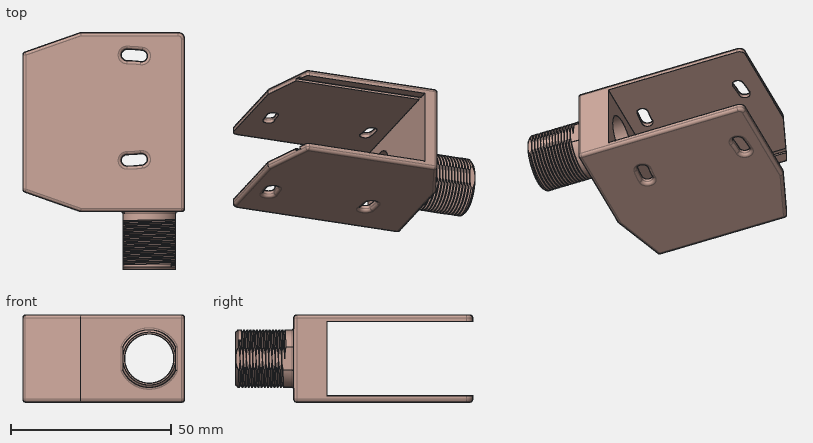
import cadquery as cq
import math

length_x = 50.5
overall_y = 74.0
depth_y = 55.9
height_z = 27.3
corner_run_x = 18.0
corner_run_y = 6.3
edge_radius = 1.0
back_corner_radius = 2.0

plate_thickness = 2.1
base_depth = 10.4
gap_height = height_z - 2 * plate_thickness

groove_start_x = 3.35
groove_width = 1.8
groove_depth = 0.7

slot_pivot_x = 32.5
slot_pivot_near_y = 16.0
slot_pivot_far_y = 48.9
slot_swing_radius = slot_pivot_far_y - slot_pivot_near_y
slot_travel = 4.6
slot_width = 3.5

stem_x = 39.45
stem_length = overall_y - depth_y
stem_radius = 9.0
stem_flat_width = 16.5
collar_length = 2.3
collar_fillet = 0.6
bore_diameter = 15.3
thread_pitch = 1.0
thread_depth = 0.85
thread_mouth_margin = 0.15
thread_tip_clearance = 0.02
thread_half_width = 0.46
tip_chamfer = 0.75

overlap = 0.5


def make_block():
    outline = [
        (0, corner_run_y),
        (corner_run_x, 0),
        (length_x, 0),
        (length_x, depth_y),
        (corner_run_x, depth_y),
        (0, depth_y - corner_run_y),
    ]
    block = cq.Workplane("XY").workplane(offset=-height_z / 2).polyline(outline).close().extrude(height_z)
    block = block.edges("|Z and >X and >Y").fillet(back_corner_radius)
    block = block.edges("|Z and >X and <Y").fillet(edge_radius)
    block = block.edges("|Z and <X").fillet(edge_radius)
    return block.faces("<Z or >Z").edges().fillet(edge_radius)


def make_gap():
    gap = (
        cq.Workplane("XY")
        .box(length_x, depth_y, gap_height, centered=(False, False, True))
        .translate((0, base_depth, 0))
    )
    grooves = (
        cq.Workplane("XY")
        .box(groove_width, depth_y, gap_height + 2 * groove_depth, centered=(False, False, True))
        .translate((groove_start_x, base_depth, 0))
    )
    return gap.union(grooves)


def slot_outline(workplane, start_y, side):
    """Curved slot; side is +1 when its pivot lies below it in Y and -1 when above."""
    pivot_y = start_y - side * slot_swing_radius
    swing = slot_travel / slot_swing_radius
    half_width = slot_width / 2

    def polar(radius, angle):
        return (slot_pivot_x + radius * math.sin(angle), pivot_y + side * radius * math.cos(angle))

    outer = slot_swing_radius + half_width
    inner = slot_swing_radius - half_width
    end_bulge = half_width / slot_swing_radius
    return (
        workplane.moveTo(*polar(outer, 0))
        .threePointArc(polar(outer, swing / 2), polar(outer, swing))
        .threePointArc(polar(slot_swing_radius, swing + end_bulge), polar(inner, swing))
        .threePointArc(polar(inner, swing / 2), polar(inner, 0))
        .threePointArc(polar(slot_swing_radius, -end_bulge), polar(outer, 0))
        .close()
    )


def cut_mounting_slots(body):
    for start_y, side in ((slot_pivot_far_y, 1), (slot_pivot_near_y, -1)):
        base = cq.Workplane("XY").workplane(offset=-height_z)
        body = body.cut(slot_outline(base, start_y, side).extrude(2 * height_z))
    margin = slot_width
    for z in (-height_z / 2, height_z / 2):
        for start_y in (slot_pivot_far_y, slot_pivot_near_y):
            picker = cq.selectors.BoxSelector(
                (slot_pivot_x - margin, start_y - margin, z - edge_radius / 2),
                (slot_pivot_x + slot_travel + margin, start_y + margin, z + edge_radius / 2),
            )
            body = body.edges(picker).fillet(edge_radius)
    return body


def stem_cylinder(radius, start, length):
    """Cylinder on the stem axis, starting at Y = -start and running toward -Y."""
    return cq.Workplane("XZ", origin=(stem_x, -start, 0)).circle(radius).extrude(length)


def trim_flats(stem_piece):
    """Cut the two side flats along a piece of the stem."""
    flats = (
        cq.Workplane("XY")
        .box(stem_flat_width, 2 * (stem_length + base_depth), height_z)
        .translate((stem_x, 0, 0))
    )
    return stem_piece.intersect(flats)


def make_thread_cutter():
    """V-shaped helical groove that runs from the collar to just short of the tip chamfer."""
    start = collar_length + thread_half_width
    travel = stem_length - start - thread_half_width - tip_chamfer - thread_tip_clearance
    root_radius = stem_radius - thread_depth
    mouth_radius = stem_radius + thread_mouth_margin
    helix = cq.Wire.makeHelix(thread_pitch, travel, stem_radius)
    groove = (
        cq.Workplane("XZ")
        .moveTo(root_radius, 0)
        .lineTo(mouth_radius, thread_half_width)
        .lineTo(mouth_radius, -thread_half_width)
        .close()
        .sweep(cq.Workplane(helix), isFrenet=True)
    )
    return groove.rotate((0, 0, 0), (1, 0, 0), 90).translate((stem_x, -start, 0))


def make_collar():
    return trim_flats(stem_cylinder(stem_radius, -overlap, collar_length + overlap))


def make_threaded_section():
    start = collar_length - overlap
    rod = stem_cylinder(stem_radius, start, stem_length - start)
    rod = rod.faces("<Y").chamfer(tip_chamfer)
    return trim_flats(rod.cut(make_thread_cutter()))


def fillet_collar_root(body):
    reach = stem_radius + overlap
    collar_root = cq.selectors.BoxSelector(
        (stem_x - reach, -overlap / 2, -reach),
        (stem_x + reach, overlap / 2, reach),
    )
    return body.edges(collar_root).fillet(collar_fillet)


def make_bore():
    """Cable passage from the stem tip through the base into the gap."""
    start = -base_depth - overlap
    return stem_cylinder(bore_diameter / 2, start, stem_length + overlap - start)


body = fillet_collar_root(make_block().union(make_collar()))
body = cut_mounting_slots(body.cut(make_gap()))
body = body.union(make_threaded_section()).cut(make_bore())
result = cq.Workplane(body.solids().val())